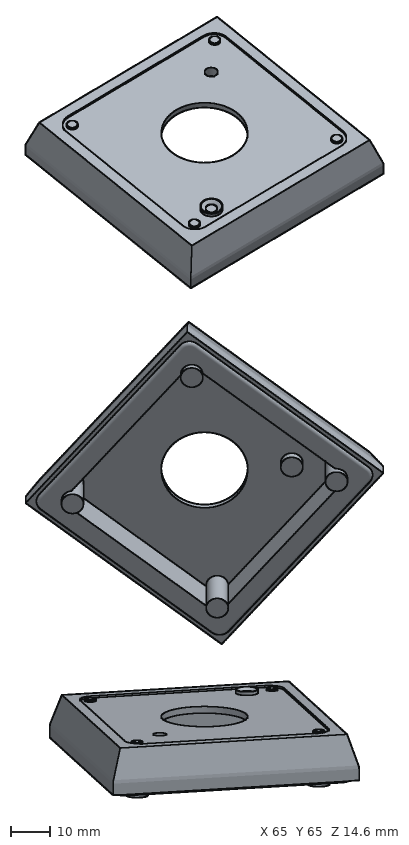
import cadquery as cq

side = 65.0
foot_height = 1.7
lip_height = 0.8
wall_height = 3.5
slope_height = 8.2
slope_inset = 2.55
slope_blend_radius = 3.0
selection_margin = 0.05

lip_z = foot_height
wall_z = lip_z + lip_height
slope_z = wall_z + wall_height
top_z = slope_z + slope_height

lip_side = 62.9
lip_corner_radius = 3.1
lip_edge_radius = 1.0

recess_side = 53.8
inner_corner_radius = 4.0
recess_depth = 0.5
floor_thickness = 1.75
floor_z = top_z - recess_depth
ceiling_z = floor_z - floor_thickness
pocket_side = 52.0
window_diameter = 22.1

post_offset = 24.0
post_diameter = 5.65
pin_diameter = 3.0
pin_height = recess_depth
pin_chamfer = 0.2

blind_hole_x, blind_hole_y = -15.85, 15.85
blind_hole_diameter = 3.4
blind_hole_depth = 3.0
boss_diameter = post_diameter
boss_end_thickness = 1.0

collar_x, collar_y = 22.5, -16.95
collar_diameter = 5.8
collar_rise = 0.4
collar_height = recess_depth + collar_rise
seat_mouth_diameter = 5.3
seat_diameter = 3.0
seat_step = 0.2
funnel_depth = collar_height - seat_step


def cylinder(x, y, z, diameter, height):
    """Upright cylinder standing on height z."""
    return cq.Workplane("XY", origin=(x, y, z)).circle(diameter / 2).extrude(height)


def rounded_square(width, corner_radius, z, height):
    """Square block with rounded upright edges, standing on height z."""
    block = cq.Workplane("XY", origin=(0, 0, z)).rect(width, width).extrude(height)
    return block.edges("|Z").fillet(corner_radius)


def make_block():
    """Vertical band and sloped top, blended where they meet, on the rounded lip."""
    band = cq.Workplane("XY", origin=(0, 0, wall_z)).rect(side, side).extrude(wall_height)
    top_side = side - 2 * slope_inset
    slope = (
        cq.Workplane("XY", origin=(0, 0, slope_z))
        .rect(side, side)
        .workplane(offset=slope_height)
        .rect(top_side, top_side)
        .loft(ruled=True)
    )
    block = band.union(slope)
    bend = cq.selectors.BoxSelector(
        (-side, -side, slope_z - selection_margin), (side, side, slope_z + selection_margin)
    )
    block = block.edges(bend).fillet(slope_blend_radius)
    lip = rounded_square(lip_side, lip_corner_radius, lip_z, slope_z - lip_z)
    return block.union(lip.faces("<Z").edges().fillet(lip_edge_radius))


def make_hollows():
    """Top recess, central window and the pocket open at the bottom."""
    recess = rounded_square(recess_side, inner_corner_radius, floor_z, recess_depth)
    pocket = rounded_square(pocket_side, inner_corner_radius, lip_z, ceiling_z - lip_z)
    window = cylinder(0, 0, ceiling_z, window_diameter, floor_thickness)
    return recess.union(pocket).union(window)


def make_post(x, y):
    """Post from the floor down to the foot, with a chamfered pin above."""
    post = cylinder(x, y, 0, post_diameter, floor_z)
    pin = cylinder(x, y, floor_z, pin_diameter, pin_height)
    return post.union(pin.faces(">Z").edges().chamfer(pin_chamfer))


def add_blind_hole(body):
    """Boss under the floor that holds the blind hole."""
    hole_z = floor_z - blind_hole_depth
    boss_z = hole_z - boss_end_thickness
    boss = cylinder(blind_hole_x, blind_hole_y, boss_z, boss_diameter, floor_z - boss_z)
    hole = cylinder(blind_hole_x, blind_hole_y, hole_z, blind_hole_diameter, blind_hole_depth)
    return body.union(boss).cut(hole)


def make_collar():
    """Short round collar whose funnel narrows to a flat seat."""
    collar = cylinder(collar_x, collar_y, floor_z, collar_diameter, collar_height)
    funnel = (
        cq.Workplane("XY", origin=(collar_x, collar_y, floor_z + collar_height))
        .circle(seat_mouth_diameter / 2)
        .workplane(offset=-funnel_depth)
        .circle(seat_diameter / 2)
        .loft()
    )
    seat = cylinder(collar_x, collar_y, floor_z, seat_diameter, seat_step)
    return collar.cut(funnel).cut(seat)


result = make_block().cut(make_hollows())
for x in (-post_offset, post_offset):
    for y in (-post_offset, post_offset):
        result = result.union(make_post(x, y))
result = add_blind_hole(result).union(make_collar())